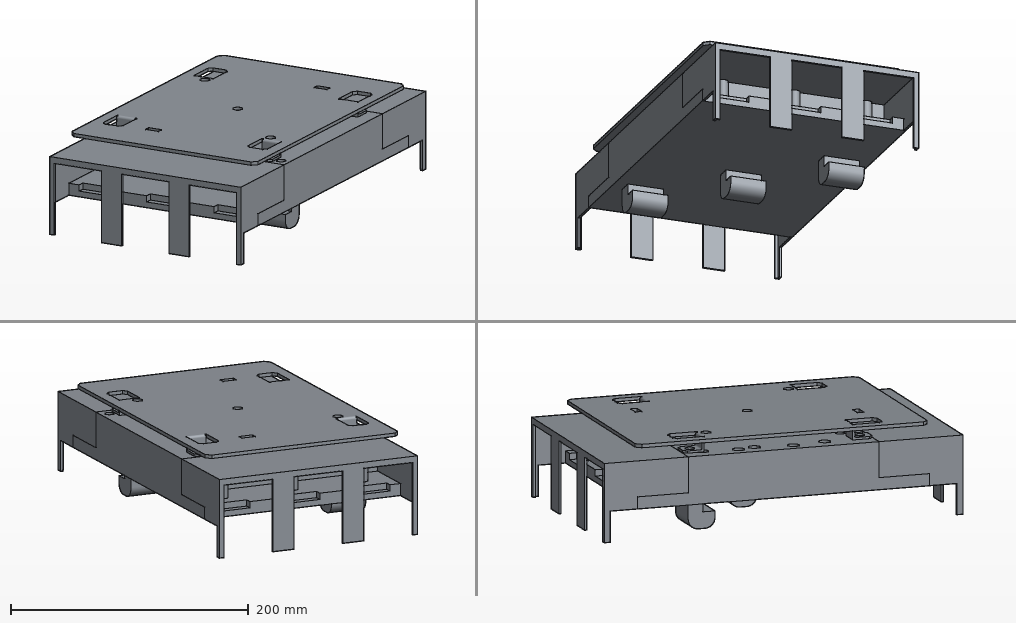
import cadquery as cq

LENGTH = 320.0
WIDTH = 184.0
HEIGHT = 82.0
HOUSING_TOP = 68.5
HOUSING_BOTTOM = 27.0
POLE_PITCH = 65.0
POLES = (-1, 0, 1)
ENDS = (-1, 1)
SIDES = (-1, 1)

BLOCK_LENGTH = 170.2
FLANGE_LENGTH = 260.5
FLANGE_TOP = 37.5

TOP_HOLE_DEPTH = 16.0
TOP_HOLES = (
    (10.2, -79.5, 36.0),
    (10.2, -80.3, -12.8),
    (10.2, -76.0, 67.0),
    (10.2, -76.0, 20.5),
    (10.2, -76.0, -42.2),
    (7.7, -51.0, -65.0),
    (7.7, 84.0, -75.5),
)

STUD_DIAMETER = 10.0
STUD_HEIGHT = 19.2
STUD_Y = (BLOCK_LENGTH + FLANGE_LENGTH) / 4
RECESS_WIDTH = 30.5
RECESS_FLOOR = 32.0
RECESS_DEPTH = 6.5

HOOK_PITCH = 60.0
HOOK_BACK_Y = 21.0
HOOK_WIDTH = 32.0
HOOK_STEM = 13.0
HOOK_LENGTH = 24.0
HOOK_BOTTOM = 3.0
HOOK_TOE_TOP = 17.3
HOOK_RADIUS = 9.0

COVER_WALL = 2.0
CORNER_LEG_DEPTH = 5.5
OPENING_WIDTH = 45.5
OPENING_TOP = 63.0

PLATE_WIDTH = 179.2
PLATE_LENGTH = 260.5
PLATE_THICKNESS = 3.0
PLATE_CHAMFER = 4.5
CENTER_HOLE = 8.3
OFFSET_HOLE = 8.3
OFFSET_HOLE_X = 65.0
OFFSET_HOLE_Y = 60.0
SLOT_SIZE = (12.5, 5.8)
SLOT_X = 32.3
SLOT_Y = 87.7

WINDOW_OUTER_X = 79.0
WINDOW_INNER_X = 60.0
WINDOW_END_Y = 93.5
WINDOW_CHAMFER = 3.2
FOOT_INNER_X = 61.5
FOOT_WIDTH = 17.3
FOOT_THICKNESS = 2.0
FOOT_END_Y = 84.5
FOOT_CHAMFER = 3.2
WEB_Y = 66.2
BEND_RADIUS = 2.2
INNER_BEND_RADIUS = 1.0
SOLE_FILLET = 1.5
WINDOW_START_Y = WEB_Y + FOOT_THICKNESS - BEND_RADIUS
FOOT_HOLE = 8.0
FOOT_HOLE_X = 69.8
FOOT_HOLE_Y = 76.0


def box(x_range, y_range, z_range):
    """Axis-parallel box between the given limits, in any order."""
    (x0, x1), (y0, y1), (z0, z1) = map(sorted, (x_range, y_range, z_range))
    return cq.Workplane("XY").box(x1 - x0, y1 - y0, z1 - z0, centered=False).translate((x0, y0, z0))


def upright_cylinder(diameter, x, y, z0, z1):
    return cq.Workplane("XY", origin=(x, y, z0)).circle(diameter / 2).extrude(z1 - z0)


def make_hook(pole):
    """J-shaped hook whose toe points to -Y."""
    back = HOOK_BACK_Y - pole * HOOK_PITCH
    tip = back - HOOK_LENGTH
    x = pole * POLE_PITCH
    span = (x - HOOK_WIDTH / 2, x + HOOK_WIDTH / 2)
    stem = box(span, (back, back - HOOK_STEM), (HOOK_BOTTOM, HOUSING_BOTTOM))
    toe = box(span, (back, tip), (HOOK_BOTTOM, HOOK_TOE_TOP))
    return stem.union(toe).edges("|X and <Z").fillet(HOOK_RADIUS)


def make_base_block():
    half_width = WIDTH / 2
    x_span = (-half_width, half_width)
    block = box(x_span, (-BLOCK_LENGTH / 2, BLOCK_LENGTH / 2), (HOUSING_BOTTOM, HOUSING_TOP))
    flange = box(x_span, (-FLANGE_LENGTH / 2, FLANGE_LENGTH / 2), (HOUSING_BOTTOM, FLANGE_TOP))
    block = block.union(flange)
    for pole in POLES:
        x = pole * POLE_PITCH
        block = block.union(make_hook(pole))
        for end in ENDS:
            stud = upright_cylinder(STUD_DIAMETER, x, end * STUD_Y, FLANGE_TOP, FLANGE_TOP + STUD_HEIGHT)
            recess = box(
                (x - RECESS_WIDTH / 2, x + RECESS_WIDTH / 2),
                (end * FLANGE_LENGTH / 2, end * (FLANGE_LENGTH / 2 - RECESS_DEPTH)),
                (RECESS_FLOOR, FLANGE_TOP),
            )
            block = block.cut(recess).union(stud)
    for diameter, x, y in TOP_HOLES:
        block = block.cut(upright_cylinder(diameter, x, y, HOUSING_TOP - TOP_HOLE_DEPTH, HOUSING_TOP))
    return block


def make_cover(end):
    """Thin hood over one flange: roof, two side walls and an end wall with three openings."""
    half_width = WIDTH / 2
    inner_half = half_width - COVER_WALL
    y_outer = end * LENGTH / 2
    y_wall = end * (LENGTH / 2 - COVER_WALL)
    y_leg = end * (LENGTH / 2 - CORNER_LEG_DEPTH)
    y_block = end * BLOCK_LENGTH / 2
    y_flange = end * FLANGE_LENGTH / 2
    full_width = (-half_width, half_width)

    cover = box(full_width, (y_block, y_outer), (0, HOUSING_TOP))
    cavity = box((-inner_half, inner_half), (y_block, y_wall), (0, HOUSING_TOP - COVER_WALL))
    below_side_walls = box(full_width, (y_block, y_leg), (0, HOUSING_BOTTOM))
    flange_notch = box(full_width, (y_block, y_flange), (HOUSING_BOTTOM, FLANGE_TOP))
    cover = cover.cut(cavity).cut(below_side_walls).cut(flange_notch)
    for pole in POLES:
        x = pole * POLE_PITCH
        x_span = (x - OPENING_WIDTH / 2, x + OPENING_WIDTH / 2)
        cover = cover.cut(box(x_span, (y_wall, y_outer), (0, OPENING_TOP)))
    return cover


def make_foot(side, end):
    """Tab bent down from the plate and then outward, its sole resting on the base block."""
    plate_bottom = HEIGHT - PLATE_THICKNESS
    sole_top = HOUSING_TOP + FOOT_THICKNESS
    web_outer = WEB_Y + FOOT_THICKNESS
    profile = (
        cq.Workplane("YZ")
        .moveTo(WEB_Y, HOUSING_TOP)
        .lineTo(FOOT_END_Y, HOUSING_TOP)
        .lineTo(FOOT_END_Y, sole_top)
        .lineTo(web_outer + SOLE_FILLET, sole_top)
        .radiusArc((web_outer, sole_top + SOLE_FILLET), SOLE_FILLET)
        .lineTo(web_outer, HEIGHT - BEND_RADIUS)
        .radiusArc((web_outer - BEND_RADIUS, HEIGHT), -BEND_RADIUS)
        .lineTo(WEB_Y - INNER_BEND_RADIUS, HEIGHT)
        .lineTo(WEB_Y - INNER_BEND_RADIUS, plate_bottom)
        .radiusArc((WEB_Y, plate_bottom - INNER_BEND_RADIUS), INNER_BEND_RADIUS)
        .close()
    )
    foot = profile.extrude(FOOT_WIDTH).translate((FOOT_INNER_X, 0, 0))
    foot = foot.faces(">Y").edges("|Z").chamfer(FOOT_CHAMFER)
    foot = foot.cut(upright_cylinder(FOOT_HOLE, FOOT_HOLE_X, FOOT_HOLE_Y, HOUSING_TOP, sole_top))
    if side < 0:
        foot = foot.mirror("YZ")
    if end < 0:
        foot = foot.mirror("XZ")
    return foot


def make_window(side, end):
    window = box(
        (side * WINDOW_OUTER_X, side * WINDOW_INNER_X),
        (end * WINDOW_START_Y, end * WINDOW_END_Y),
        (HEIGHT - PLATE_THICKNESS, HEIGHT),
    )
    return window.faces(">Y" if end > 0 else "<Y").edges("|Z").chamfer(WINDOW_CHAMFER)


def make_mounting_plate():
    plate_bottom = HEIGHT - PLATE_THICKNESS
    plate = box(
        (-PLATE_WIDTH / 2, PLATE_WIDTH / 2), (-PLATE_LENGTH / 2, PLATE_LENGTH / 2), (plate_bottom, HEIGHT)
    )
    plate = plate.edges("|Z").chamfer(PLATE_CHAMFER)
    plate = plate.cut(upright_cylinder(CENTER_HOLE, 0, 0, plate_bottom, HEIGHT))
    for end in ENDS:
        plate = plate.cut(
            upright_cylinder(OFFSET_HOLE, -end * OFFSET_HOLE_X, end * OFFSET_HOLE_Y, plate_bottom, HEIGHT)
        )
        slot = cq.Workplane("XY", origin=(end * SLOT_X, end * SLOT_Y, plate_bottom))
        plate = plate.cut(slot.rect(*SLOT_SIZE).extrude(PLATE_THICKNESS))
    for side in SIDES:
        for end in ENDS:
            plate = plate.cut(make_window(side, end)).union(make_foot(side, end))
    return plate


base_block = make_base_block()
covers = [make_cover(end) for end in ENDS]
mounting_plate = make_mounting_plate()
result = cq.Compound.makeCompound(
    [base_block.val(), *[cover.val() for cover in covers], mounting_plate.val()]
)